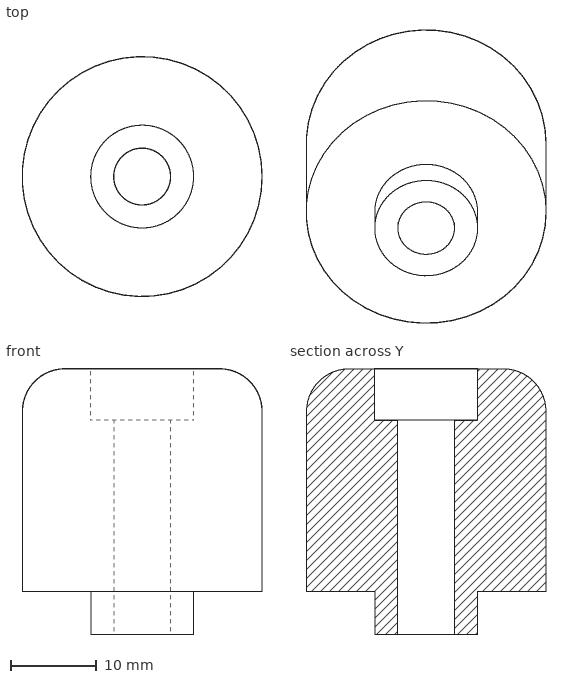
import cadquery as cq

total_height = 31.0
body_diameter = 28.0
stem_diameter = 12.0
stem_height = 5.0
top_round_radius = 5.0
through_hole_diameter = 6.6
counterbore_diameter = stem_diameter
counterbore_depth = 6.0

body_height = total_height - stem_height

stem = cq.Workplane("XY").circle(stem_diameter / 2).extrude(stem_height)

body = (
    cq.Workplane("XY")
    .workplane(offset=stem_height)
    .circle(body_diameter / 2)
    .extrude(body_height)
    .faces(">Z")
    .edges()
    .fillet(top_round_radius)
)

result = (
    body.union(stem)
    .faces(">Z")
    .workplane(origin=(0, 0, total_height))
    .cboreHole(through_hole_diameter, counterbore_diameter, counterbore_depth)
)